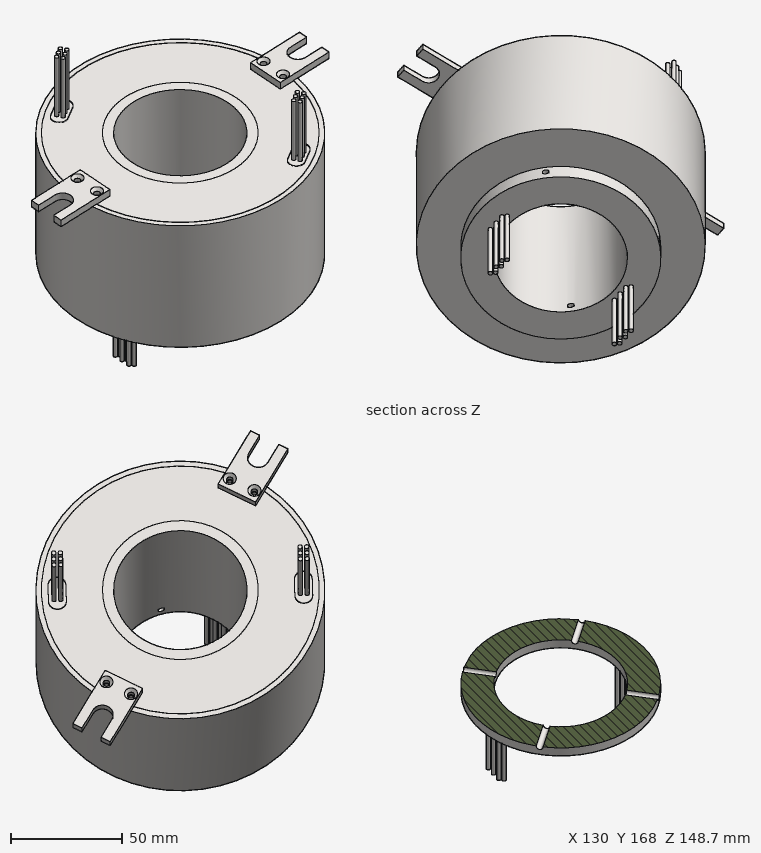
import cadquery as cq
import math

housing_diameter = 130.0
housing_height = 71.7
lid_diameter = 125.0
lid_recess = 0.2

bracket_span = 168.0
bracket_width = 19.2
bracket_length = 30.5
bracket_thickness = 3.7
fork_width = 9.7
fork_depth = 15.1
screw_spacing = 12.6
screw_edge_distance = 4.9
screw_hole_diameter = 3.0
screw_head_diameter = 5.9
screw_head_angle = 90
tapped_hole_diameter = 2.4
tapped_hole_depth = 4.0
drill_tip_angle = 118

outlet_radius = 55.5
outlet_angle = 30
outlet_length = 16.1
outlet_width = 8.0
outlet_depth = 0.5

bore_diameter = 60.0
sleeve_diameter = 70.0
neck_diameter = 80.0
neck_height = 1.2
flange_diameter = 90.0
flange_height = 8.0
set_screw_diameter = 3.0
set_screw_drop = 4.7
set_screw_count = 4
set_screw_first_angle = 45

wire_diameter = 2.0
wires_per_row = 3
upper_wire_length = 34.0
upper_wire_pitch = 3.0
lower_wire_length = 33.8
lower_wire_pitch = 4.4
lower_row_step = 1.7
lower_bundle_radius = 34.1
lower_bundle_shift = 0.7

lid_top = housing_height - lid_recess
outlet_floor = lid_top - outlet_depth
bracket_top = housing_height + bracket_thickness
flange_bottom = -neck_height - flange_height
opposite_sides = (0, 180)


def turned(shape, angle):
    """The shape turned about the main axis."""
    return shape.rotate((0, 0, 0), (0, 0, 1), angle)


def cylinder(diameter, bottom, top):
    return cq.Workplane("XY", origin=(0, 0, bottom)).circle(diameter / 2).extrude(top - bottom)


def wire_bundle(pitch, row_spacing, row_shift, start, end):
    """Two rows of wires along X, centred on the main axis; the +Y row is shifted along X."""
    points = []
    for side in (-0.5, 0.5):
        for index in range(wires_per_row):
            along = (index - (wires_per_row - 1) / 2) * pitch
            points.append((along + side * row_shift, side * row_spacing))
    plane = cq.Workplane("XY", origin=(0, 0, start))
    return plane.pushPoints(points).circle(wire_diameter / 2).extrude(end - start)


def make_bracket():
    """Plate on the -Y rim, open at its outer end like a fork."""
    outer_y = -bracket_span / 2
    inner_y = outer_y + bracket_length
    fork_radius = fork_width / 2
    fork_center_y = outer_y + fork_depth - fork_radius
    half_width = bracket_width / 2
    return (
        cq.Workplane("XY", origin=(0, 0, lid_top))
        .moveTo(-half_width, outer_y)
        .lineTo(-fork_radius, outer_y)
        .lineTo(-fork_radius, fork_center_y)
        .threePointArc((0, fork_center_y + fork_radius), (fork_radius, fork_center_y))
        .lineTo(fork_radius, outer_y)
        .lineTo(half_width, outer_y)
        .lineTo(half_width, inner_y)
        .lineTo(-half_width, inner_y)
        .close()
        .extrude(bracket_top - lid_top)
    )


def make_screw_holes():
    """Countersunk holes through the -Y bracket, each above a blind tapped hole in the housing."""
    hole_radius = screw_hole_diameter / 2
    head_radius = screw_head_diameter / 2
    head_depth = (head_radius - hole_radius) / math.tan(math.radians(screw_head_angle / 2))
    tapped_radius = tapped_hole_diameter / 2
    tapped_bottom = lid_top - tapped_hole_depth
    tip_depth = tapped_radius / math.tan(math.radians(drill_tip_angle / 2))
    profile = (
        cq.Workplane("XZ")
        .moveTo(0, bracket_top)
        .lineTo(head_radius, bracket_top)
        .lineTo(hole_radius, bracket_top - head_depth)
        .lineTo(hole_radius, lid_top)
        .lineTo(tapped_radius, lid_top)
        .lineTo(tapped_radius, tapped_bottom)
        .lineTo(0, tapped_bottom - tip_depth)
        .close()
    )
    hole = profile.revolve(360, (0, 0, 0), (0, 1, 0))
    hole_y = -bracket_span / 2 + bracket_length - screw_edge_distance
    left = hole.translate((-screw_spacing / 2, hole_y, 0))
    right = hole.translate((screw_spacing / 2, hole_y, 0))
    return left.add(right).combine()


def make_housing():
    body = (
        cylinder(housing_diameter, 0, housing_height)
        .cut(cylinder(lid_diameter, lid_top, housing_height))
        .cut(cylinder(sleeve_diameter, 0, housing_height))
    )
    outlet = (
        cq.Workplane("XY", origin=(outlet_radius, 0, outlet_floor))
        .slot2D(outlet_length, outlet_width, 90)
        .extrude(outlet_depth)
    )
    wires = wire_bundle(
        upper_wire_pitch, upper_wire_pitch, 0, outlet_floor, housing_height + upper_wire_length
    )
    wires = turned(wires, 90).translate((outlet_radius, 0, 0))
    bracket = make_bracket()
    screw_holes = make_screw_holes()
    for side in opposite_sides:
        body = body.union(turned(bracket, side)).cut(turned(screw_holes, side))
        body = body.cut(turned(outlet, side + outlet_angle))
        body = body.union(turned(wires, side + outlet_angle))
    return body


def make_rotor():
    body = (
        cylinder(sleeve_diameter, flange_bottom, lid_top)
        .union(cylinder(neck_diameter, -neck_height, 0))
        .union(cylinder(flange_diameter, flange_bottom, -neck_height))
        .cut(cylinder(bore_diameter, flange_bottom, lid_top))
    )
    set_screw_hole = (
        cq.Workplane("YZ", origin=(0, 0, -set_screw_drop))
        .circle(set_screw_diameter / 2)
        .extrude(flange_diameter / 2)
    )
    for index in range(set_screw_count):
        body = body.cut(turned(set_screw_hole, set_screw_first_angle + index * 360 / set_screw_count))
    wires = wire_bundle(
        lower_wire_pitch, lower_row_step, lower_row_step, flange_bottom - lower_wire_length, flange_bottom
    ).translate((-lower_bundle_shift, -lower_bundle_radius, 0))
    for side in opposite_sides:
        body = body.union(turned(wires, side))
    return body


housing = make_housing()
rotor = make_rotor()
result = cq.Compound.makeCompound([housing.val(), rotor.val()])